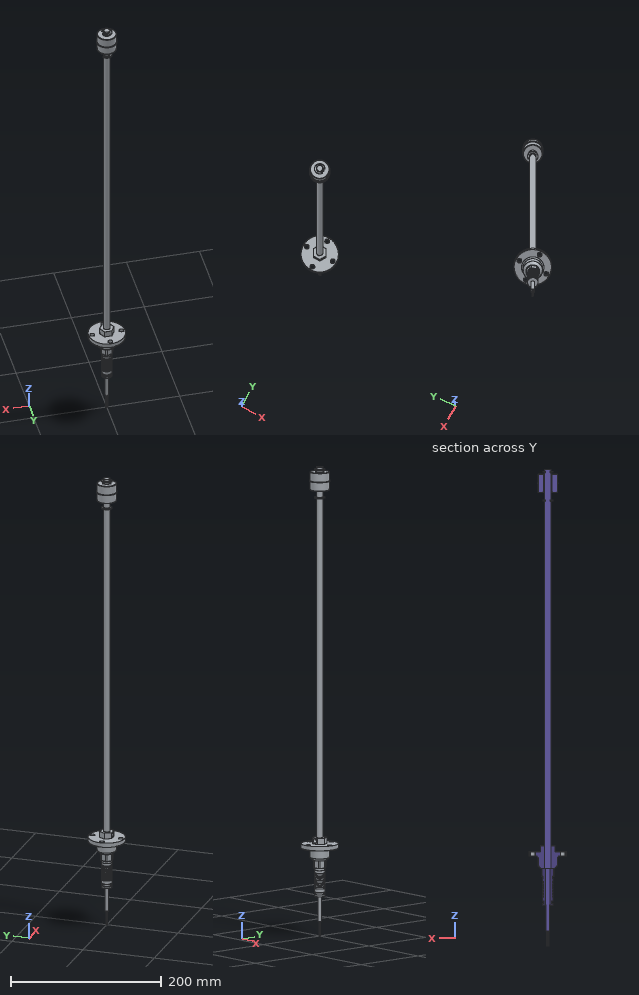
import cadquery as cq
import math


total_height = 635.0

wire_diameter = 1.4
wire_spacing = 1.65
cable_end_z = 19.5
cable_diameter = 5.0

boot_bottom_z = 54.0
boot_diameter = 14.5
boot_top_z = 89.5
gland_neck_diameter = 14.0
boot_foot_height = 2.5
boot_neck_height = 3.0
boot_neck_diameter = 11.0
boot_groove_count = 6
boot_groove_pitch = 4.0
boot_groove_width = 2.0
boot_groove_diameter = 13.0
lowest_boot_groove_z = 65.0
gland_hex_bottom_z = 92.5
gland_hex_top_z = 103.0
gland_hex_flats = 16.0
gland_hex_corner_diameter = 17.0
gland_hex_turn = 15.0

hub_diameter = 26.0
hub_cone_height = 4.0
hub_length = 13.0
flare_height = 2.0
flange_diameter = 50.0
flange_thickness = 6.0
bolt_hole_count = 4
bolt_hole_diameter = 6.0
bolt_circle_diameter = 40.0
collar_flats = 17.0
collar_height = 8.0
set_hole_diameter = 6.0

stem_diameter = 9.0
ring_groove_diameter = 7.0
ring_groove_width = 1.6
ring_diameter = 14.0
ring_thickness = 1.0
ring_opening = 7.0
upper_groove_z = 630.5
lower_groove_z = 592.0

float_diameter = 26.0
float_height = 25.0
float_bottom_z = 604.0
float_chamfer = 0.5
float_bore = 11.0
seam_diameter = 28.0
seam_thickness = 0.5

hub_bottom_z = gland_hex_top_z
hub_cone_top_z = hub_bottom_z + hub_cone_height
flange_bottom_z = hub_cone_top_z + hub_length
flange_top_z = flange_bottom_z + flange_thickness
collar_top_z = flange_top_z + collar_height


def cylinder(diameter, bottom_z, top_z):
    return cq.Workplane("XY", origin=(0, 0, bottom_z)).circle(diameter / 2).extrude(top_z - bottom_z)


def cone(bottom_diameter, top_diameter, bottom_z, top_z):
    solid = cq.Solid.makeCone(
        bottom_diameter / 2, top_diameter / 2, top_z - bottom_z, pnt=cq.Vector(0, 0, bottom_z)
    )
    return cq.Workplane(solid)


def hexagon(across_flats, bottom_z, top_z):
    """Hexagonal prism with two opposite corners on the X axis."""
    side_count = 6
    corner_diameter = across_flats / math.cos(math.pi / side_count)
    base = cq.Workplane("XY", origin=(0, 0, bottom_z))
    return base.polygon(side_count, corner_diameter).extrude(top_z - bottom_z)


def cut_groove(body, body_diameter, floor_diameter, bottom_z, width):
    """Cut a ring-shaped groove around a cylindrical stretch of the body."""
    top_z = bottom_z + width
    groove = cylinder(body_diameter, bottom_z, top_z).cut(cylinder(floor_diameter, bottom_z, top_z))
    return body.cut(groove)


def make_stem():
    stem = cylinder(stem_diameter, hub_bottom_z, total_height)
    for groove_z in (lower_groove_z, upper_groove_z):
        stem = cut_groove(stem, stem_diameter, ring_groove_diameter, groove_z, ring_groove_width)
    return stem


def make_retaining_ring(groove_z):
    """Open ring in a stem groove, against the upper wall of the groove, with the opening towards +X."""
    top_z = groove_z + ring_groove_width
    bottom_z = top_z - ring_thickness
    ring = cylinder(ring_diameter, bottom_z, top_z).cut(cylinder(ring_groove_diameter, bottom_z, top_z))
    opening = cq.Workplane("XY", origin=(ring_diameter / 2, 0, bottom_z))
    return ring.cut(opening.rect(ring_diameter, ring_opening).extrude(ring_thickness))


def make_float():
    top_z = float_bottom_z + float_height
    middle_z = float_bottom_z + float_height / 2
    body = cylinder(float_diameter, float_bottom_z, top_z).edges("%CIRCLE").chamfer(float_chamfer)
    seam = cylinder(seam_diameter, middle_z - seam_thickness / 2, middle_z + seam_thickness / 2)
    return body.union(seam).cut(cylinder(float_bore, float_bottom_z, top_z))


def make_hub():
    """Hub below the plate: tapered at its lower end, flared where it meets the plate."""
    cone_end_diameter = hub_diameter - 2 * hub_cone_height
    flare_diameter = hub_diameter + 2 * flare_height
    hub = cone(cone_end_diameter, hub_diameter, hub_bottom_z, hub_cone_top_z)
    hub = hub.union(cylinder(hub_diameter, hub_cone_top_z, flange_bottom_z))
    return hub.union(cone(hub_diameter, flare_diameter, flange_bottom_z - flare_height, flange_bottom_z))


def make_plate():
    bolt_holes = (
        cq.Workplane("XY", origin=(0, 0, flange_bottom_z))
        .polarArray(bolt_circle_diameter / 2, 0, 360, bolt_hole_count)
        .circle(bolt_hole_diameter / 2)
        .extrude(flange_thickness)
    )
    return cylinder(flange_diameter, flange_bottom_z, flange_top_z).cut(bolt_holes)


def make_collar():
    """Hexagonal collar with a radial hole from its -Y flat to the stem bore."""
    set_hole_z = flange_top_z + collar_height / 2
    set_hole = cq.Workplane("XZ", origin=(0, 0, set_hole_z)).circle(set_hole_diameter / 2)
    return hexagon(collar_flats, flange_top_z, collar_top_z).cut(set_hole.extrude(collar_flats / 2))


def make_flange():
    flange = make_hub().union(make_plate()).union(make_collar())
    return flange.cut(cylinder(stem_diameter, hub_bottom_z, collar_top_z))


def make_gland():
    foot_top_z = boot_bottom_z + boot_foot_height
    neck_top_z = foot_top_z + boot_neck_height
    gland = cylinder(boot_diameter, boot_bottom_z, foot_top_z)
    gland = gland.union(cylinder(boot_neck_diameter, foot_top_z, neck_top_z))
    gland = gland.union(cylinder(boot_diameter, neck_top_z, boot_top_z))
    gland = gland.union(cylinder(gland_neck_diameter, boot_top_z, gland_hex_bottom_z))
    for number in range(boot_groove_count):
        groove_z = lowest_boot_groove_z + number * boot_groove_pitch
        gland = cut_groove(gland, boot_diameter, boot_groove_diameter, groove_z, boot_groove_width)
    nut = hexagon(gland_hex_flats, gland_hex_bottom_z, gland_hex_top_z)
    nut = nut.rotate((0, 0, 0), (0, 0, 1), gland_hex_turn)
    nut = nut.intersect(cylinder(gland_hex_corner_diameter, gland_hex_bottom_z, gland_hex_top_z))
    gland = gland.union(nut)
    return gland.cut(cylinder(cable_diameter, boot_bottom_z, gland_hex_top_z))


def make_wire(x):
    return cq.Workplane("XY", origin=(x, 0, 0)).circle(wire_diameter / 2).extrude(cable_end_z)


stem = make_stem()
retaining_rings = [make_retaining_ring(groove_z) for groove_z in (lower_groove_z, upper_groove_z)]
float_body = make_float()
flange = make_flange()
gland = make_gland()
cable = cylinder(cable_diameter, cable_end_z, gland_hex_top_z)
wires = [make_wire(side * wire_spacing / 2) for side in (-1, 1)]

result = cq.Compound.makeCompound(
    [
        stem.val(),
        *[ring.val() for ring in retaining_rings],
        float_body.val(),
        flange.val(),
        gland.val(),
        cable.val(),
        *[wire.val() for wire in wires],
    ]
)